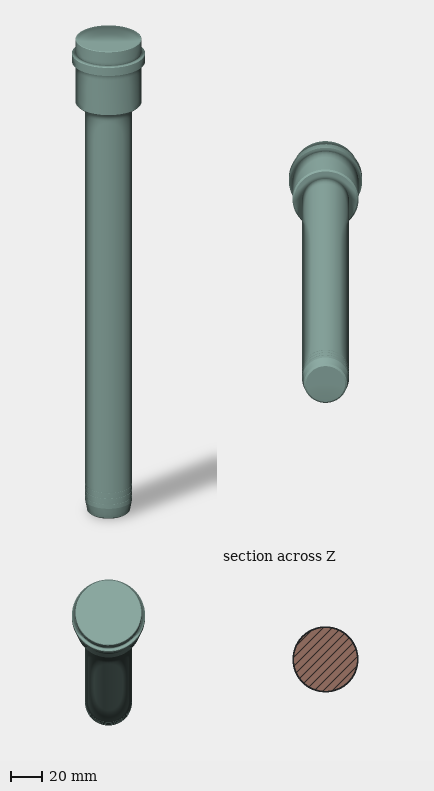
import cadquery as cq

length = 330.0

collar_diameter = 47.0
head_diameter = 42.2
neck_diameter = 41.5
shaft_diameter = 30.0
tip_diameter = 27.0

head_length = 45.2
collar_top_depth = 10.0
collar_height = 6.0
edge_break = 0.3
neck_height = 0.5
head_chamfer = 1.0

taper_length = 8.0
tip_chamfer = 1.0

groove_count = 3
groove_width = 1.0
groove_depth = 0.15
groove_pitch = 4.0
first_groove_height = 11.0


def cylinder(diameter, bottom, height):
    """Solid disc or rod about the Z axis."""
    return cq.Workplane("XY").workplane(offset=bottom).circle(diameter / 2).extrude(height)


def ring(outer_diameter, inner_diameter, bottom, height):
    """Tube about the Z axis, used to cut grooves."""
    return cylinder(outer_diameter, bottom, height).cut(cylinder(inner_diameter, bottom, height))


shaft_radius = shaft_diameter / 2
tip_radius = tip_diameter / 2
head_bottom = length - head_length
shaft = (
    cq.Workplane("XZ")
    .polyline([
        (0, 0),
        (tip_radius, 0),
        (shaft_radius, taper_length),
        (shaft_radius, head_bottom),
        (0, head_bottom),
    ])
    .close()
    .revolve(360, (0, 0), (0, 1))
    .faces("<Z").chamfer(tip_chamfer)
)

head = cylinder(head_diameter, head_bottom, head_length).faces("<Z").chamfer(head_chamfer)

head = head.faces(">Z").chamfer(edge_break)

collar_top = length - collar_top_depth
collar_bottom = collar_top - collar_height
for neck_bottom in (collar_top, collar_bottom - neck_height):
    head = head.cut(ring(collar_diameter, neck_diameter, neck_bottom, neck_height))

collar = cylinder(collar_diameter, collar_bottom, collar_height).faces(">Z").chamfer(edge_break)

for index in range(groove_count):
    groove_bottom = first_groove_height + index * groove_pitch
    groove_floor = shaft_diameter - 2 * groove_depth
    shaft = shaft.cut(ring(collar_diameter, groove_floor, groove_bottom, groove_width))

result = shaft.union(head).union(collar)